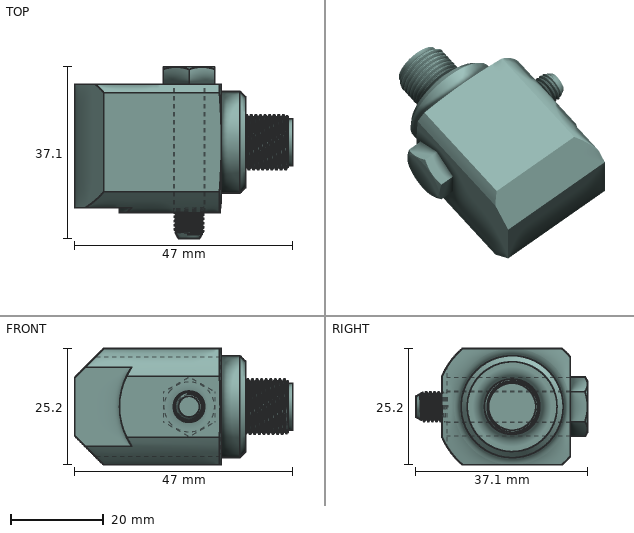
import cadquery as cq
import math

block_size = 25.15
half_size = block_size / 2
envelope_radius = 16.5
boss_face = 15.15
relief_face = 14.15
boss_radius = 15.0
nose_chamfer = 6.25
block_length = 31.65
end_taper = 0.42

collar_diameter = 22.05
collar_end = 36.95
collar_chamfer = 1.3
connector_diameter = 11.95
connector_root = 10.8
connector_pitch = 1.0
connector_end = 46.05
connector_chamfer = 0.45
connector_groove_start = -1.3
tip_diameter = 10.15
overall_length = 47.05

screw_x = 24.65
hole_diameter = 6.8
screw_diameter = 6.45
screw_root = 5.35
screw_pitch = 0.9
screw_tip_diameter = 4.45
screw_tip_reach = 20.8
screw_tip_angle = 30
screw_groove_start = 14.3
screw_groove_end = 19.9
head_flats = 11.15
head_height = 3.75
head_top_diameter = 10.83
head_bevel_angle = 30

flank_angle = 30
crest_flat_ratio = 1 / 8
cutter_overrun = 0.05


def thread_groove(crest_diameter, root_diameter, pitch, start, end):
    """Right-handed helical groove around Z; its start lies on the +X side."""
    crest_radius = crest_diameter / 2
    root_radius = root_diameter / 2
    outer_radius = crest_radius + cutter_overrun
    slope = math.tan(math.radians(flank_angle))
    crest_half = pitch * (1 - crest_flat_ratio) / 2
    root_half = crest_half - (crest_radius - root_radius) * slope
    outer_half = crest_half + cutter_overrun * slope
    profile = cq.Workplane("XZ").polyline([
        (root_radius, -root_half),
        (outer_radius, -outer_half),
        (outer_radius, outer_half),
        (root_radius, root_half),
    ]).close()
    helix = cq.Wire.makeHelix(pitch, end - start, root_radius)
    groove = profile.sweep(cq.Workplane(obj=helix), isFrenet=True)
    return groove.translate((0, 0, start))


def threaded_rod(crest_diameter, root_diameter, pitch, start, end):
    """Rod around Z, threaded from start to end, with spare length at both ends."""
    spare = 4 * pitch
    rod = (
        cq.Workplane("XY", origin=(0, 0, start - spare))
        .circle(crest_diameter / 2)
        .extrude(end - start + 2 * spare)
    )
    return rod.cut(thread_groove(crest_diameter, root_diameter, pitch, start, end))


def place(body, origin, x_direction, axis):
    """Move a body built around Z so that Z lies on the given axis."""
    location = cq.Location(cq.Plane(origin, x_direction, axis))
    return cq.Workplane(obj=body.val().moved(location))


def make_block():
    length = block_length
    outline = [
        (0, -half_size + nose_chamfer),
        (nose_chamfer, -half_size),
        (length, -half_size),
        (length, half_size),
        (nose_chamfer, half_size),
        (0, half_size - nose_chamfer),
    ]
    block = (
        cq.Workplane("XZ", origin=(0, half_size, 0))
        .polyline(outline).close()
        .extrude(half_size + boss_face)
    )
    envelope = (
        cq.Workplane("XY")
        .polyline([
            (0, 0),
            (length, 0),
            (length, half_size),
            (length - end_taper, envelope_radius),
            (0, envelope_radius),
        ]).close()
        .revolve(360, (0, 0, 0), (1, 0, 0))
    )
    return block.intersect(envelope)


def make_front_relief():
    """Material removed from the front face outside the round boss."""
    depth = boss_face - relief_face
    slab = (
        cq.Workplane("XZ", origin=(0, -relief_face, 0))
        .rect(2 * block_length, 2 * block_size)
        .extrude(depth)
    )
    boss = (
        cq.Workplane("XZ", origin=(screw_x, -relief_face, 0))
        .circle(boss_radius)
        .extrude(depth)
    )
    return slab.cut(boss)


def make_connector():
    collar = (
        cq.Workplane("YZ", origin=(block_length, 0, 0))
        .circle(collar_diameter / 2)
        .extrude(collar_end - block_length)
        .faces(">X").chamfer(collar_chamfer)
    )
    thread_length = connector_end - collar_end
    rod = threaded_rod(connector_diameter, connector_root, connector_pitch,
                       connector_groove_start, thread_length + connector_pitch)
    thread_envelope = (
        cq.Workplane("XY")
        .circle(connector_diameter / 2)
        .extrude(thread_length)
        .faces(">Z").chamfer(connector_chamfer)
    )
    thread = place(rod.intersect(thread_envelope), (collar_end, 0, 0), (0, 1, 0), (1, 0, 0))
    tip = (
        cq.Workplane("YZ", origin=(collar_end, 0, 0))
        .circle(tip_diameter / 2)
        .extrude(overall_length - collar_end)
    )
    return collar.union(thread).union(tip)


def make_housing():
    screw_hole = (
        cq.Workplane("XZ", origin=(screw_x, half_size, 0))
        .circle(hole_diameter / 2)
        .extrude(half_size + boss_face)
    )
    return make_block().cut(make_front_relief()).cut(screw_hole).union(make_connector())


def make_head():
    """Hexagon with corners on the local Y axis, bevelled on its outer side."""
    corner_diameter = head_flats / math.cos(math.radians(30))
    hexagon = (
        cq.Workplane("XY", origin=(0, 0, -half_size - head_height))
        .transformed(rotate=(0, 0, 90))
        .polygon(6, corner_diameter)
        .extrude(head_height)
    )
    corner_radius = corner_diameter / 2
    top_radius = head_top_diameter / 2
    bevel = (corner_radius - top_radius) * math.tan(math.radians(head_bevel_angle))
    top = -half_size - head_height
    bevel_envelope = (
        cq.Workplane("XZ")
        .polyline([
            (0, top),
            (top_radius, top),
            (corner_radius, top + bevel),
            (corner_radius, -half_size),
            (0, -half_size),
        ]).close()
        .revolve(360, (0, 0, 0), (0, 1, 0))
    )
    return hexagon.intersect(bevel_envelope)


def make_screw():
    shank_radius = screw_diameter / 2
    tip_radius = screw_tip_diameter / 2
    point_length = (shank_radius - tip_radius) / math.tan(math.radians(screw_tip_angle))
    shank_envelope = (
        cq.Workplane("XZ")
        .polyline([
            (0, -half_size),
            (shank_radius, -half_size),
            (shank_radius, screw_tip_reach - point_length),
            (tip_radius, screw_tip_reach),
            (0, screw_tip_reach),
        ]).close()
        .revolve(360, (0, 0, 0), (0, 1, 0))
    )
    joint = screw_groove_start - screw_pitch
    plain_shank = (
        cq.Workplane("XY", origin=(0, 0, -half_size))
        .circle(shank_radius)
        .extrude(joint + half_size)
    )
    rod = threaded_rod(screw_diameter, screw_root, screw_pitch,
                       screw_groove_start, screw_groove_end)
    threaded_shank = rod.intersect(shank_envelope)
    screw = plain_shank.union(threaded_shank).union(make_head())
    return place(screw, (screw_x, 0, 0), (1, 0, 0), (0, -1, 0))


housing = make_housing()
screw = make_screw()
result = cq.Compound.makeCompound([housing.solids().val(), screw.solids().val()])